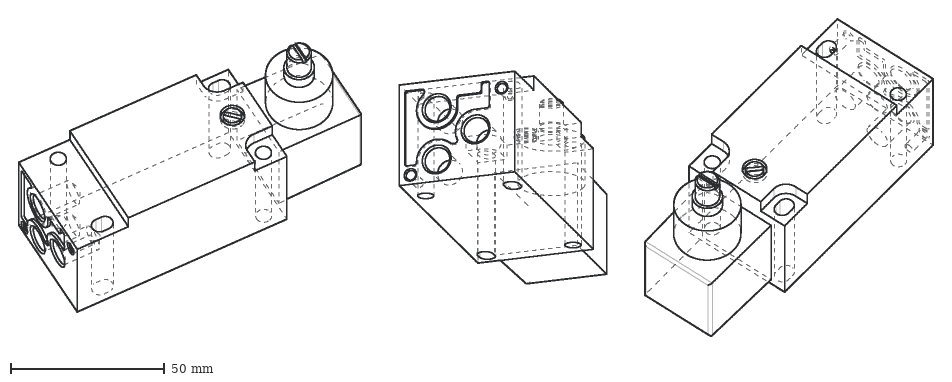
import cadquery as cq
import math

body_width = 40.0
body_height = 40.0
body_length = 78.1
total_length = 109.5
total_height = 59.0

shelf_height = 35.0
shelf_length = 19.0
notch_width = 10.0
notch_length = 11.9
notch_radius = 5.0

mount_x = 15.0
mount_front_y = 12.0
mount_back_y = 72.0
mount_diameter = 5.3
mount_slot_length = 7.3

head_base_size = 28.7
head_end_size = 27.8
head_center_z = 16.5
head_edge_radius = 1.0

spindle_y = 93.5
boss_diameter = 22.0
boss_top = 46.0
collar_diameter = 10.0
collar_top = 50.3
spindle_diameter = 8.0
spindle_chamfer = 0.7
driver_slot_width = 1.3
driver_slot_depth = 1.2

screw_y = 68.7
screw_pocket_diameter = 8.0
screw_head_diameter = 6.0
screw_groove_depth = 2.0
screw_slot_angle = 45

port_left_x = -7.0
port_right_x = 6.5
port_low_z = 7.6
port_mid_z = 16.4
port_high_z = 25.4
port_diameter = 8.5
port_mouth_diameter = 10.0
port_depth = 13.1
pilot_diameter = 3.3
pilot_mouth_diameter = 4.3
pilot_depth = 8.0
pilot_centers = [(-16.1, 3.3), (15.4, 29.8)]
drill_tip_angle = 118

seal_depth = 1.0
seal_radius = 7.0
seal_corner_radius = 0.8
seal_left = -18.1
seal_bottom = 6.6
seal_top = 32.6
seal_tab_x = -11.4
seal_step_z = 29.0
seal_finger_left = 8.3
seal_finger_right = 11.2
seal_notch_z = 12.5


def make_body():
    body = cq.Workplane("XY").box(body_width, body_length, body_height, centered=(True, False, False))
    step_height = body_height - shelf_height
    shelf = (
        cq.Workplane("XY", origin=(0, 0, shelf_height))
        .box(body_width, shelf_length, step_height, centered=(True, False, False))
    )
    body = body.cut(shelf)
    for side in (-1, 1):
        notch = (
            cq.Workplane("XY")
            .box(notch_width, notch_length, step_height, centered=(True, False, False))
            .edges("|Z and <Y")
            .edges(">X" if side < 0 else "<X")
            .fillet(notch_radius)
            .translate((side * (body_width - notch_width) / 2, body_length - notch_length, shelf_height))
        )
        body = body.cut(notch)
    return body


def make_mounting_holes():
    base = cq.Workplane("XY")
    round_holes = (
        base.pushPoints([(-mount_x, mount_front_y), (mount_x, mount_back_y)])
        .circle(mount_diameter / 2)
        .extrude(body_height)
    )
    slots = (
        base.pushPoints([(mount_x, mount_front_y), (-mount_x, mount_back_y)])
        .slot2D(mount_slot_length, mount_diameter, 90)
        .extrude(body_height)
    )
    return round_holes.union(slots)


def make_head():
    """Square head tapering along Y, with rounded edges on its end face."""
    return (
        cq.Workplane("XZ", origin=(0, body_length, head_center_z))
        .rect(head_base_size, head_base_size)
        .workplane(offset=body_length - total_length)
        .rect(head_end_size, head_end_size)
        .loft(ruled=True)
        .faces(">Y")
        .edges()
        .fillet(head_edge_radius)
    )


def make_vertical_cylinder(y, diameter, bottom, top):
    return cq.Workplane("XY", origin=(0, y, bottom)).circle(diameter / 2).extrude(top - bottom)


def make_spindle():
    boss = make_vertical_cylinder(spindle_y, boss_diameter, head_center_z, boss_top)
    collar = make_vertical_cylinder(spindle_y, collar_diameter, boss_top, collar_top)
    pin = make_vertical_cylinder(spindle_y, spindle_diameter, collar_top, total_height)
    pin = pin.faces(">Z").chamfer(spindle_chamfer)
    slot = (
        cq.Workplane("XY", origin=(0, spindle_y, total_height - driver_slot_depth))
        .box(spindle_diameter, driver_slot_width, driver_slot_depth, centered=(True, True, False))
    )
    return boss.union(collar).union(pin.cut(slot))


def make_screw_groove():
    """Ring around the flush screw head, with the driver slot across the head."""
    floor = body_height - screw_groove_depth
    pocket = make_vertical_cylinder(screw_y, screw_pocket_diameter, floor, body_height)
    head = make_vertical_cylinder(screw_y, screw_head_diameter, floor, body_height)
    slot = (
        cq.Workplane("XY")
        .box(screw_pocket_diameter, driver_slot_width, screw_groove_depth, centered=(True, True, False))
        .rotate((0, 0, 0), (0, 0, 1), screw_slot_angle)
        .translate((0, screw_y, floor))
    )
    return pocket.cut(head.cut(slot))


def make_drilled_hole(x, z, diameter, mouth_diameter, depth):
    """Hole along Y with a 45 degree mouth and a conical drill tip."""
    radius = diameter / 2
    mouth_radius = mouth_diameter / 2
    tip_length = radius / math.tan(math.radians(drill_tip_angle / 2))
    return (
        cq.Workplane("XY")
        .moveTo(0, 0)
        .lineTo(mouth_radius, 0)
        .lineTo(radius, mouth_radius - radius)
        .lineTo(radius, depth)
        .lineTo(0, depth + tip_length)
        .close()
        .revolve(360, (0, 0, 0), (0, 1, 0))
        .translate((x, 0, z))
    )


def make_seal_recess():
    """Rounded outline less the round lands that surround the three ports."""
    def reach(offset):
        return math.sqrt(seal_radius**2 - offset**2)

    def on_land(x, z, angle):
        turn = math.radians(angle)
        return (x + seal_radius * math.cos(turn), z + seal_radius * math.sin(turn))

    inner_left = port_left_x - seal_radius
    inner_right = port_left_x + seal_radius
    land_top = port_mid_z + seal_radius
    tab_end = (seal_tab_x, port_high_z + reach(seal_tab_x - port_left_x))
    notch_right = (port_right_x - reach(seal_notch_z - port_mid_z), seal_notch_z)
    notch_left = (port_left_x + reach(seal_notch_z - port_low_z), seal_notch_z)
    outline = (
        cq.Workplane("XZ")
        .moveTo(seal_left, seal_bottom)
        .lineTo(seal_left, seal_top)
        .lineTo(seal_tab_x, seal_top)
        .lineTo(*tab_end)
        .threePointArc(on_land(port_left_x, port_high_z, 270), (inner_right, port_high_z))
        .lineTo(inner_right, seal_step_z)
        .lineTo(seal_finger_left, seal_step_z)
        .lineTo(seal_finger_left, seal_top)
        .lineTo(seal_finger_right, seal_top)
        .lineTo(seal_finger_right, land_top)
        .lineTo(port_right_x, land_top)
        .threePointArc(on_land(port_right_x, port_mid_z, 180), notch_right)
        .lineTo(*notch_left)
        .threePointArc(on_land(port_left_x, port_low_z, 90), (inner_left, port_low_z))
        .lineTo(inner_left, seal_bottom)
        .close()
    )
    recess = outline.extrude(-seal_depth)
    corners = [
        (seal_left, seal_bottom),
        (seal_left, seal_top),
        (seal_tab_x, seal_top),
        tab_end,
        (inner_right, seal_step_z),
        (seal_finger_left, seal_step_z),
        (seal_finger_left, seal_top),
        (seal_finger_right, seal_top),
        (seal_finger_right, land_top),
        notch_right,
        (inner_left, seal_bottom),
    ]
    for x, z in corners:
        corner_edge = cq.selectors.NearestToPointSelector((x, seal_depth / 2, z))
        recess = recess.edges("|Y").edges(corner_edge).fillet(seal_corner_radius)
    return recess


port_centers = [
    (port_left_x, port_low_z),
    (port_right_x, port_mid_z),
    (port_left_x, port_high_z),
]

result = make_body().union(make_head()).union(make_spindle())
result = result.cut(make_mounting_holes()).cut(make_screw_groove()).cut(make_seal_recess())
for x, z in port_centers:
    result = result.cut(make_drilled_hole(x, z, port_diameter, port_mouth_diameter, port_depth))
for x, z in pilot_centers:
    result = result.cut(make_drilled_hole(x, z, pilot_diameter, pilot_mouth_diameter, pilot_depth))